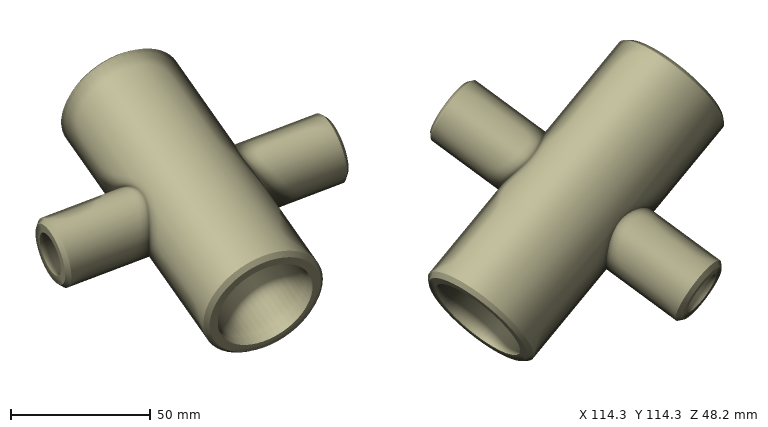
import cadquery as cq

length = 114.3
run_diameter = 48.2
run_bore = 38.3
branch_diameter = 26.7
branch_bore = 16.6
chamfer_length = 1.6
chamfer_depth = 1.7


def cylinder(plane, diameter):
    """Solid cylinder centred on the origin, along the normal of the plane."""
    return cq.Workplane(plane).circle(diameter / 2).extrude(length / 2, both=True)


def bevelled_cylinder(plane, diameter):
    """Cylinder along the local Y axis of the plane, bevelled around both ends."""
    half_length = length / 2
    radius = diameter / 2
    profile = [
        (0, -half_length),
        (radius - chamfer_depth, -half_length),
        (radius, -half_length + chamfer_length),
        (radius, half_length - chamfer_length),
        (radius - chamfer_depth, half_length),
        (0, half_length),
    ]
    outline = cq.Workplane(plane).polyline(profile).close()
    return outline.revolve(360, (0, 0, 0), (0, 1, 0))


run_profile_plane = cq.Plane(origin=(0, 0, 0), xDir=(0, 1, 0), normal=(0, 0, -1))
run_pipe = bevelled_cylinder(run_profile_plane, run_diameter)
branch_pipe = bevelled_cylinder("XY", branch_diameter)

body = run_pipe.union(branch_pipe)
result = body.cut(cylinder("YZ", run_bore)).cut(cylinder("XZ", branch_bore))